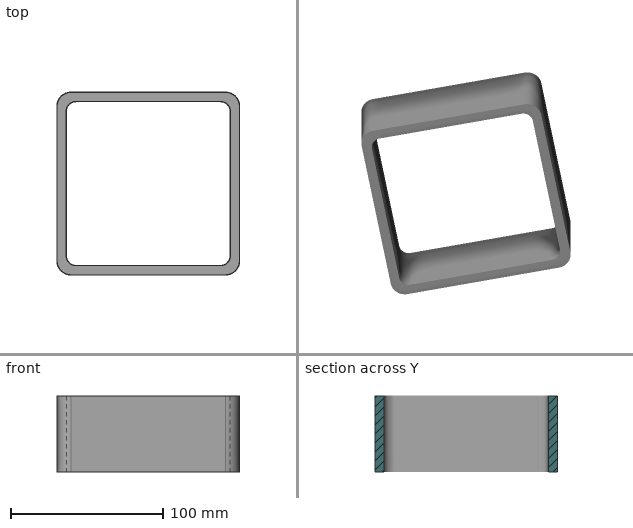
import cadquery as cq

side = 120.0
length = 50.0
wall = 6.3
outer_radius = 1.5 * wall
inner_radius = 1.0 * wall


def rounded_square_prism(width, corner_radius):
    """Square prism along Z with its four vertical edges rounded."""
    return cq.Workplane("XY").rect(width, width).extrude(length).edges("|Z").fillet(corner_radius)


outer_body = rounded_square_prism(side, outer_radius)
bore = rounded_square_prism(side - 2 * wall, inner_radius)

result = outer_body.cut(bore)